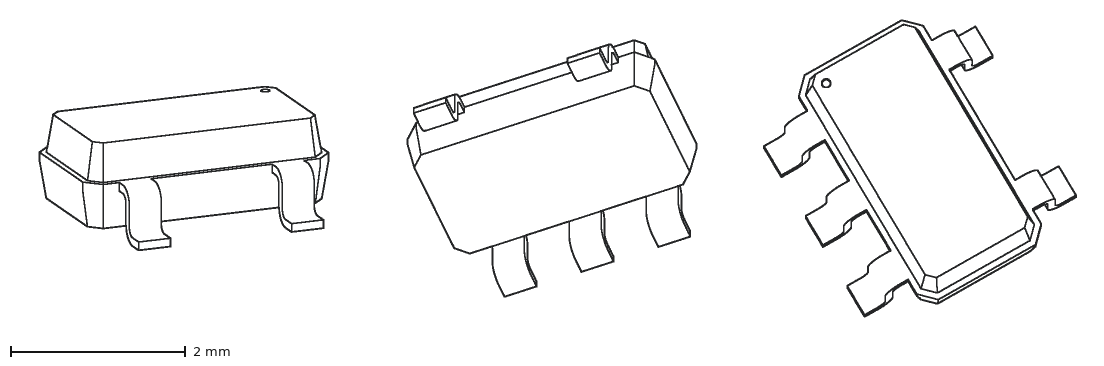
import cadquery as cq


body_length = 3.05
lead_span = 2.8
total_height = 1.1

body_width = 1.647
standoff = 0.1
corner_chamfer = 0.18
draft_angle = 9.0
ledge_width = 0.073

lead_thickness = 0.1
lead_width = 0.395
lead_pitch = 0.95
foot_length = 0.177
inner_bend_radius = 0.098
left_lead_rows = (-1, 0, 1)
right_lead_rows = (-1, 1)

mark_diameter = 0.1
mark_depth = 0.05
mark_x = -0.528
mark_y = 1.23

body_middle = (standoff + total_height) / 2
band_bottom = body_middle - lead_thickness / 2
band_top = body_middle + lead_thickness / 2


def body_outline(z):
    """Outline of the body: a rectangle with chamfered corners, at height z."""
    half_x = body_width / 2
    half_y = body_length / 2
    inner_x = half_x - corner_chamfer
    inner_y = half_y - corner_chamfer
    corners = [
        (half_x, inner_y),
        (inner_x, half_y),
        (-inner_x, half_y),
        (-half_x, inner_y),
        (-half_x, -inner_y),
        (-inner_x, -half_y),
        (inner_x, -half_y),
        (half_x, -inner_y),
    ]
    return cq.Workplane("XY", origin=(0, 0, z)).polyline(corners).close()


def make_body():
    """Straight middle band with a drafted lower half and a drafted, set-back upper half."""
    band = body_outline(band_bottom).extrude(lead_thickness)
    lower = body_outline(band_bottom).extrude(standoff - band_bottom, taper=draft_angle)
    upper = (
        body_outline(band_top)
        .offset2D(-ledge_width, "intersection")
        .extrude(total_height - band_top, taper=draft_angle)
    )
    return band.union(lower).union(upper)


def make_lead(y):
    """Gull-wing lead on the +X side, from the body edge out and down to its foot."""
    outer_radius = inner_bend_radius + lead_thickness
    toe_x = lead_span / 2
    foot_start_x = toe_x - foot_length
    inner_face_x = foot_start_x - outer_radius
    outer_face_x = inner_face_x + lead_thickness
    shoulder_x = outer_face_x - outer_radius
    root_x = body_width / 2 - ledge_width
    profile = (
        cq.Workplane("XZ", origin=(0, y + lead_width / 2, 0))
        .moveTo(root_x, band_top)
        .lineTo(shoulder_x, band_top)
        .tangentArcPoint((outer_face_x, band_top - outer_radius), relative=False)
        .lineTo(outer_face_x, outer_radius)
        .tangentArcPoint((foot_start_x, lead_thickness), relative=False)
        .lineTo(toe_x, lead_thickness)
        .lineTo(toe_x, 0)
        .lineTo(foot_start_x, 0)
        .tangentArcPoint((inner_face_x, outer_radius), relative=False)
        .lineTo(inner_face_x, band_top - outer_radius)
        .tangentArcPoint((shoulder_x, band_bottom), relative=False)
        .lineTo(root_x, band_bottom)
        .close()
    )
    return profile.extrude(lead_width)


def make_pin_mark():
    """Cutter for the dimple next to the first lead."""
    return (
        cq.Workplane("XY", origin=(mark_x, mark_y, total_height))
        .circle(mark_diameter / 2)
        .extrude(-mark_depth)
    )


result = make_body().cut(make_pin_mark())
for row in right_lead_rows:
    result = result.union(make_lead(row * lead_pitch))
for row in left_lead_rows:
    result = result.union(make_lead(row * lead_pitch).mirror("YZ"))